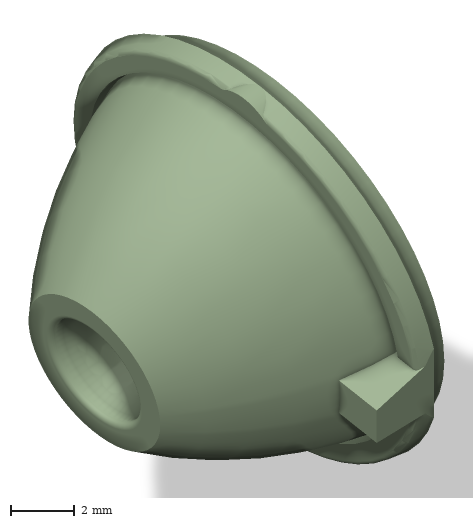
import cadquery as cq
import math

overall_length = 8.24

disc_radius = 14.8 / 2
disc_thickness = 0.86
flange_radius = 8.0
flange_thickness = 0.72
flange_draft = 15.0
flange_edge_round = 0.2
flange_front_y = -(disc_thickness + flange_thickness)

body_root_radius = 6.91
body_mid_radius = 5.73
body_mid_y = -4.3
tip_radius = 2.98

groove_radius = 7.0
groove_depth = 0.35

bump_radius = 1.44

flat_x = 7.8
tab_inner_x = 4.8
tab_front_y = -3.4
tab_front_width = 1.63
tab_root_width = 2.25

recess_mouth_radius = 2.16
recess_mouth_round = 0.2
wall_middle_radius = 1.75
wall_middle_depth = 1.04
wall_bottom_radius = 1.42
wall_bottom_depth = 2.13
valley_radius = 1.28
valley_depth = 2.43

lens_curve_radius = 1.65
lens_top_depth = 1.92
lens_shoulder_radius = 1.12


def revolve_about_y(profile):
    return profile.close().revolve(360, (0, 0, 0), (0, 1, 0))


def make_disc():
    return cq.Workplane("XZ").circle(disc_radius).extrude(disc_thickness)


def make_flange():
    """Drafted ring with a rounded front edge, the two bumps and the groove."""
    front_radius = flange_radius - flange_thickness * math.tan(math.radians(flange_draft))
    flange = revolve_about_y(
        cq.Workplane("XY")
        .moveTo(0, -disc_thickness)
        .lineTo(flange_radius, -disc_thickness)
        .lineTo(front_radius, flange_front_y)
        .lineTo(0, flange_front_y)
    )
    flange = flange.faces("<Y").edges().fillet(flange_edge_round)

    bump_offset = flange_radius - bump_radius
    bumps = (
        cq.Workplane("XZ", origin=(0, -disc_thickness, 0))
        .pushPoints([(0, bump_offset), (0, -bump_offset)])
        .circle(bump_radius)
        .extrude(flange_thickness)
    )
    groove = revolve_about_y(
        cq.Workplane("XY")
        .moveTo(0, flange_front_y)
        .lineTo(groove_radius, flange_front_y)
        .lineTo(body_root_radius, flange_front_y + groove_depth)
        .lineTo(0, flange_front_y + groove_depth)
    )
    return flange.union(bumps).cut(groove)


def make_body():
    root_y = flange_front_y + groove_depth
    return revolve_about_y(
        cq.Workplane("XY")
        .moveTo(0, -disc_thickness)
        .lineTo(body_root_radius, -disc_thickness)
        .lineTo(body_root_radius, root_y)
        .threePointArc((body_mid_radius, body_mid_y), (tip_radius, -overall_length))
        .lineTo(0, -overall_length)
    )


def make_tab():
    """Block whose top and bottom sides widen toward the flange."""
    side_slope = (tab_root_width - tab_front_width) / 2 / (flange_front_y - tab_front_y)
    rear_half_width = tab_front_width / 2 + side_slope * (-disc_thickness - tab_front_y)
    return (
        cq.Workplane("YZ", origin=(tab_inner_x, 0, 0))
        .moveTo(tab_front_y, -tab_front_width / 2)
        .lineTo(-disc_thickness, -rear_half_width)
        .lineTo(-disc_thickness, rear_half_width)
        .lineTo(tab_front_y, tab_front_width / 2)
        .close()
        .extrude(flat_x - tab_inner_x)
    )


def make_flange_flat():
    """Material to remove beyond the flat on the +X side of the flange."""
    beyond_flat = flange_radius - flat_x
    return cq.Workplane("XY").box(
        2 * beyond_flat, 2 * overall_length, 2 * flange_radius
    ).translate((flat_x + beyond_flat, 0, 0))


def lens_depth(radius):
    """Depth of the spherical lens surface below the tip at a given radius."""
    return lens_top_depth + lens_curve_radius - math.sqrt(lens_curve_radius**2 - radius**2)


def make_recess():
    """Curved funnel with a rounded mouth, flowing through a valley into the lens."""
    throat_radius = recess_mouth_radius - recess_mouth_round
    mouth_arc_offset = recess_mouth_round * math.sqrt(0.5)
    mouth_arc_middle = (
        recess_mouth_radius - mouth_arc_offset,
        recess_mouth_round - mouth_arc_offset - overall_length,
    )
    lens_middle_radius = lens_shoulder_radius / 2
    wall_and_lens = [
        (wall_middle_radius, wall_middle_depth),
        (wall_bottom_radius, wall_bottom_depth),
        (valley_radius, valley_depth),
        (lens_shoulder_radius, lens_depth(lens_shoulder_radius)),
        (lens_middle_radius, lens_depth(lens_middle_radius)),
        (0, lens_top_depth),
    ]
    return revolve_about_y(
        cq.Workplane("XY")
        .moveTo(0, -overall_length)
        .lineTo(recess_mouth_radius, -overall_length)
        .threePointArc(mouth_arc_middle, (throat_radius, recess_mouth_round - overall_length))
        .spline(
            [(radius, depth - overall_length) for radius, depth in wall_and_lens],
            tangents=[(0, 1), (-1, 0)],
            includeCurrent=True,
        )
    )


result = (
    make_disc()
    .union(make_flange())
    .union(make_body())
    .union(make_tab())
    .cut(make_flange_flat())
    .cut(make_recess())
)